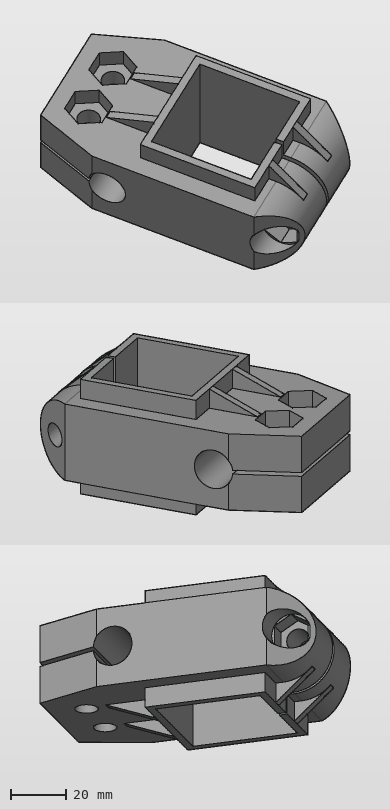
import cadquery as cq
import math

length = 105.0
width = 60.0
body_height = 30.0
nose_radius = body_height / 2
nose_x = length - nose_radius
taper_length = 25.0
taper_inset = 9.0
nose_inset = 11.4

socket_x = 64.0
socket_outer = 46.0
socket_inner = 40.0
socket_height = 45.0

bore_x = 31.0
bore_diameter = 15.0

slit_gap = 1.5

screw_diameter = 8.5
nut_depth = 7.0
pair_spacing = 20.0
pair_x = 14.0
pair_nut_flats = 15.0
pair_nut_corners = pair_nut_flats / math.cos(math.pi / 6)
cross_x = 96.0
cross_seat_diameter = 15.0
cross_seat_depth = 10.1
cross_nut_corners = cross_seat_diameter

rib_thickness = 3.2
rib_start_x = 21.8
rib_end_x = 101.0
rib_end_z = 10.4


def centred_box(start_x, end_x, size_y, size_z):
    """Box from start_x to end_x, centred on Y and Z."""
    return cq.Workplane("YZ", origin=(start_x, 0, 0)).rect(size_y, size_z).extrude(end_x - start_x)


def socket_block(side):
    """Square block as tall as the socket, centred on the socket axis."""
    return centred_box(socket_x - side / 2, socket_x + side / 2, side, socket_height)


def through_hole_across(x, diameter):
    """Cylinder along Y through the full width."""
    return cq.Workplane("XZ").center(x, 0).circle(diameter / 2).extrude(width / 2, both=True)


def hexagon(plane, corner_diameter, depth):
    """Hexagonal prism with two corners on the local Y axis of its plane."""
    return plane.transformed(rotate=(0, 0, 90)).polygon(6, corner_diameter).extrude(depth)


def clamp_body():
    """Plan outline and side profile, each extruded and intersected."""
    plan = (
        cq.Workplane("XY")
        .moveTo(0, width / 2 - taper_inset)
        .lineTo(taper_length, width / 2)
        .lineTo(nose_x, width / 2)
        .lineTo(length, width / 2 - nose_inset)
        .lineTo(length, nose_inset - width / 2)
        .lineTo(nose_x, -width / 2)
        .lineTo(taper_length, -width / 2)
        .lineTo(0, taper_inset - width / 2)
        .close()
        .extrude(body_height / 2, both=True)
    )
    profile = (
        cq.Workplane("XZ")
        .moveTo(0, -nose_radius)
        .lineTo(nose_x, -nose_radius)
        .threePointArc((length, 0), (nose_x, nose_radius))
        .lineTo(0, nose_radius)
        .close()
        .extrude(width / 2, both=True)
    )
    return plan.intersect(profile)


def rib_plate(side_y):
    """Plate sloping from the socket rims down to both ends of the body, above and below."""
    socket_start = socket_x - socket_outer / 2
    socket_end = socket_x + socket_outer / 2
    rim_z = socket_height / 2
    return (
        cq.Workplane("XZ", origin=(0, side_y, 0))
        .moveTo(rib_start_x, body_height / 2)
        .lineTo(socket_start, rim_z)
        .lineTo(socket_end, rim_z)
        .lineTo(rib_end_x, rib_end_z)
        .lineTo(rib_end_x, -rib_end_z)
        .lineTo(socket_end, -rim_z)
        .lineTo(socket_start, -rim_z)
        .lineTo(rib_start_x, -body_height / 2)
        .close()
        .extrude(rib_thickness / 2, both=True)
    )


def pair_screw(side_y):
    """Vertical screw hole with a nut pocket in the top face."""
    top_plane = cq.Workplane("XY", origin=(pair_x, side_y, body_height / 2))
    hole = top_plane.circle(screw_diameter / 2).extrude(-body_height)
    return hole.union(hexagon(top_plane, pair_nut_corners, -nut_depth))


def cross_screw():
    """Screw hole along Y with a round recess in the -Y side and a nut pocket beneath it."""
    seat_plane = cq.Workplane("XZ", origin=(cross_x, cross_seat_depth - width / 2, 0))
    seat = seat_plane.circle(cross_seat_diameter / 2).extrude(cross_seat_depth)
    nut = hexagon(seat_plane, cross_nut_corners, -nut_depth)
    return through_hole_across(cross_x, screw_diameter).union(seat).union(nut)


result = clamp_body().union(socket_block(socket_outer))
for pair_y in (-pair_spacing / 2, pair_spacing / 2):
    result = result.union(rib_plate(pair_y))

result = result.cut(socket_block(socket_inner))
result = result.cut(through_hole_across(bore_x, bore_diameter))
result = result.cut(cross_screw())
for pair_y in (-pair_spacing / 2, pair_spacing / 2):
    result = result.cut(pair_screw(pair_y))

result = result.cut(centred_box(0, bore_x, width, slit_gap))
result = result.cut(centred_box(socket_x, length, slit_gap, socket_height))